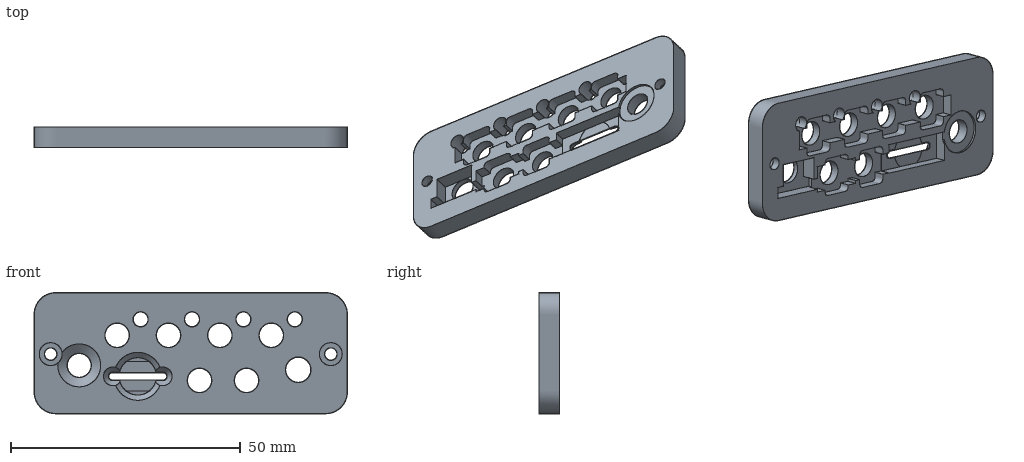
import cadquery as cq

length = 68.15
thickness = 4.5
height = 26.4
corner_radius = 4.8
front_y = -thickness / 2

antenna_hole_d = 5.25
antenna_web = 2.05
antenna_pitch = 11.2
upper_row_first_x = -16.0
upper_row_z = 3.9
upper_row_count = 4
upper_row_xs = [upper_row_first_x + i * antenna_pitch for i in range(upper_row_count)]
sync_x = 1.9
gps_x = 12.1
lower_row_z = -5.9

nest_width = 6.8
nest_height = 8.3
nest_corner_radius = 0.95
channel_width = antenna_pitch
channel_height = 4.5
tall_channel_height = 5.7

light_hole_d = 3.2
light_offset_x = 5.1
light_z = 7.35

screw_x = 30.45
screw_z = -0.2
screw_hole_d = 2.65
screw_head_d = 5.0
screw_head_depth = 2.6

power_x = -24.25
power_z = -2.65
power_mouth_d = 9.35
power_bore_d = 5.2
power_mouth_depth = 1.3
power_relief_depth = 0.55

phone_x = 23.4
phone_z = -3.6
phone_hole_d = 5.45
phone_web = 1.2
phone_pocket_width = 9.0
phone_pocket_floor_z = -8.2
phone_step_width = 12.3
phone_step_height = 2.45

card_x = -11.5
card_z = -5.05
finger_mouth_d = 10.4
finger_floor_d = 8.1
finger_taper_depth = 1.0
finger_depth = 1.8
slot_length = 12.6
slot_height = 1.6
flare_x = 5.0
flare_stretch = 0.95
flare_mouth_d = 4.0
flare_throat_d = 1.85
card_web = 2.0
card_pocket_width = 16.35
card_pocket_height = 6.4


def at(x, depth, z):
    """Workplane parallel to the front face, at a depth behind it, drawing toward the back."""
    return cq.Workplane("XZ", origin=(x, front_y + depth, z))


def bore(x, z, diameter, start=0.0, end=thickness):
    return at(x, start, z).circle(diameter / 2).extrude(-(end - start))


def cone(x, z, mouth_d, floor_d, depth):
    mouth = at(x, 0, z).circle(mouth_d / 2)
    return mouth.workplane(offset=-depth).circle(floor_d / 2).loft(ruled=True)


def back_pocket(x, z, width, pocket_height, web):
    """Rectangular pocket open at the back, leaving a web of the given thickness in front."""
    return at(x, web, z).rect(width, pocket_height).extrude(-(thickness - web))


def antenna_nest(x, z):
    pocket = back_pocket(x, z, nest_width, nest_height, antenna_web)
    return pocket.edges("|Y").fillet(nest_corner_radius)


def antenna_socket(x, z, crossing_height):
    """Through hole with a rounded nest and a crossing channel behind it."""
    channel = back_pocket(x, z, channel_width, crossing_height, antenna_web)
    return bore(x, z, antenna_hole_d).union(antenna_nest(x, z)).union(channel)


def screw_hole(x):
    head = bore(x, screw_z, screw_head_d, end=screw_head_depth)
    return bore(x, screw_z, screw_hole_d).union(head)


def power_socket():
    mouth = cone(power_x, power_z, power_mouth_d, power_bore_d, power_mouth_depth)
    relief = bore(power_x, power_z, power_mouth_d, start=thickness - power_relief_depth)
    return bore(power_x, power_z, power_bore_d).union(mouth).union(relief)


def phone_socket():
    pocket_height = phone_z + phone_hole_d / 2 - phone_pocket_floor_z
    pocket_z = phone_pocket_floor_z + pocket_height / 2
    step_z = phone_pocket_floor_z + phone_step_height / 2
    pocket = back_pocket(phone_x, pocket_z, phone_pocket_width, pocket_height, phone_web)
    step = back_pocket(phone_x, step_z, phone_step_width, phone_step_height, phone_web)
    return bore(phone_x, phone_z, phone_hole_d).union(pocket).union(step)


def slot_end_flare(x):
    """Tapered oblong recess around one end of the card slot."""
    mouth = at(x, 0, card_z).slot2D(flare_stretch + flare_mouth_d, flare_mouth_d)
    throat = mouth.workplane(offset=-finger_depth)
    return throat.slot2D(flare_stretch + flare_throat_d, flare_throat_d).loft(ruled=True)


def card_slot():
    taper = cone(card_x, card_z, finger_mouth_d, finger_floor_d, finger_taper_depth)
    floor = bore(card_x, card_z, finger_floor_d, end=finger_depth)
    slot = at(card_x, 0, card_z).slot2D(slot_length, slot_height).extrude(-thickness)
    pocket = back_pocket(card_x, card_z, card_pocket_width, card_pocket_height, card_web)
    cut = taper.union(floor).union(slot).union(pocket)
    for side in (-1, 1):
        cut = cut.union(slot_end_flare(card_x + side * flare_x))
    return cut


plate = cq.Workplane("XY").box(length, thickness, height).edges("|Y").fillet(corner_radius)

result = plate
for antenna_x in upper_row_xs:
    result = result.cut(antenna_socket(antenna_x, upper_row_z, channel_height))
    result = result.cut(bore(antenna_x + light_offset_x, light_z, light_hole_d))
result = result.cut(antenna_socket(sync_x, lower_row_z, channel_height))
result = result.cut(antenna_socket(gps_x, lower_row_z, tall_channel_height))
for side in (-1, 1):
    result = result.cut(screw_hole(side * screw_x))
result = result.cut(power_socket()).cut(phone_socket()).cut(card_slot())